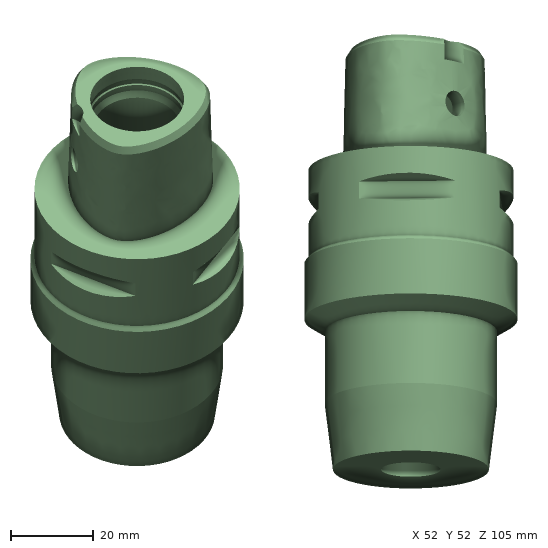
import cadquery as cq
import math

height = 105.0
nose_taper_top = 16.5
cone_bottom = 34.5
cone_top = 37.7
collar_top = 51.6
shoulder_bottom = 52.6
shank_length = 30.0
shank_bottom = height - shank_length

nose_tip_radius = 19.0
nose_radius = 21.0
collar_radius = 52.0 / 2
shoulder_radius = 25.0

shank_mean_radius = 17.6
lobe_height = 1.3
taper_on_radius = 1 / 40
shank_chamfer_height = 1.7
shank_chamfer_width = 1.0
lobe_count = 3
outline_points = 48

mouth_radius = 11.4
groove_radius = 12.0
throat_radius = 10.6
through_radius = 7.2
groove_top = height - 4.1
groove_bottom = height - 6.1
throat_cone_top = height - 7.9
throat_cone_bottom = height - 9.6
bore_floor = height - 21.0

notch_radius = 3.8
notch_inner_reach = 13.8
notch_depth = 5.5
cross_hole_diameter = 6.3
cross_hole_drop = 16.1
cross_hole_floor_y = -11.5

slot_floor_distance = 22.0
slot_center_z = 64.8
slot_floor_width = 4.2
slot_flank_angle = 25.0
slot_overcut = 5.2
slot_length = 2 * shoulder_radius


def lobed_section(mean_radius, z):
    """Constant-width closed curve with one lobe pointing to +Y."""
    points = []
    for i in range(outline_points):
        angle = 2 * math.pi * i / outline_points
        support = mean_radius + lobe_height * math.cos(lobe_count * angle)
        slope = -lobe_count * lobe_height * math.sin(lobe_count * angle)
        along = support * math.cos(angle) - slope * math.sin(angle)
        across = support * math.sin(angle) + slope * math.cos(angle)
        points.append(cq.Vector(-across, along, z))
    return cq.Wire.assembleEdges([cq.Edge.makeSpline(points, periodic=True)])


def make_body():
    profile = [
        (0, 0),
        (nose_tip_radius, 0),
        (nose_radius, nose_taper_top),
        (nose_radius, cone_bottom),
        (collar_radius, cone_top),
        (collar_radius, collar_top),
        (shoulder_radius, shoulder_bottom),
        (shoulder_radius, shank_bottom),
        (0, shank_bottom),
    ]
    return cq.Workplane("XZ").polyline(profile).close().revolve(360, (0, 0), (0, 1))


def make_shank():
    chamfer_z = height - shank_chamfer_height
    chamfer_radius = shank_mean_radius - taper_on_radius * (chamfer_z - shank_bottom)
    base = lobed_section(shank_mean_radius, shank_bottom)
    chamfer_start = lobed_section(chamfer_radius, chamfer_z)
    top = lobed_section(chamfer_radius - shank_chamfer_width, height)
    taper = cq.Solid.makeLoft([base, chamfer_start], True)
    chamfer = cq.Solid.makeLoft([chamfer_start, top], True)
    return cq.Workplane(taper).union(cq.Workplane(chamfer))


def make_bore():
    profile = [
        (0, 0),
        (through_radius, 0),
        (through_radius, bore_floor),
        (throat_radius, bore_floor),
        (throat_radius, throat_cone_bottom),
        (mouth_radius, throat_cone_top),
        (mouth_radius, groove_bottom),
        (groove_radius, groove_bottom),
        (groove_radius, groove_top),
        (mouth_radius, groove_top),
        (mouth_radius, height),
        (0, height),
    ]
    return cq.Workplane("XZ").polyline(profile).close().revolve(360, (0, 0), (0, 1))


def make_notch():
    center_y = -(notch_inner_reach + notch_radius)
    return (
        cq.Workplane("XY", origin=(0, center_y, height - notch_depth))
        .circle(notch_radius)
        .extrude(notch_depth)
    )


def make_cross_hole():
    return (
        cq.Workplane("XZ", origin=(0, cross_hole_floor_y, height - cross_hole_drop))
        .circle(cross_hole_diameter / 2)
        .extrude(collar_radius)
    )


def make_gripper_slot(angle):
    half_floor = slot_floor_width / 2
    half_mouth = half_floor + slot_overcut * math.tan(math.radians(slot_flank_angle))
    outer = slot_floor_distance + slot_overcut
    profile = [
        (slot_floor_distance, slot_center_z - half_floor),
        (outer, slot_center_z - half_mouth),
        (outer, slot_center_z + half_mouth),
        (slot_floor_distance, slot_center_z + half_floor),
    ]
    slot = cq.Workplane("XZ").polyline(profile).close().extrude(slot_length / 2, both=True)
    return slot.rotate((0, 0, 0), (0, 0, 1), angle)


result = make_body().union(make_shank())
result = result.cut(make_bore()).cut(make_notch()).cut(make_cross_hole())
for slot_angle in (45, 135, 225, 315):
    result = result.cut(make_gripper_slot(slot_angle))